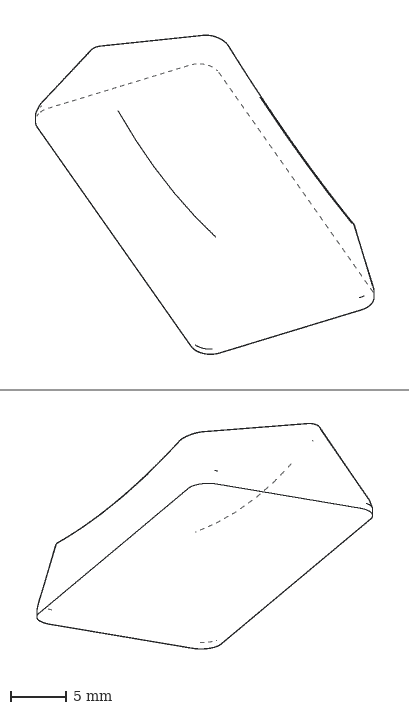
import cadquery as cq
import math

length = 37.2
width = 18.15
base_corner_radius = 1.97
skirt_height = 0.65

break_height = 1.38
break_inset = 0.2
break_inset_back = 0.1

top_tilt = 13.8
top_center_height = 8.22
top_length = 30.2
top_front = -5.17
top_back = 8.65
top_corner_radius = 1.85
top_edge_radius = 0.25

dish_half_reach = 9.3
dish_depth_front = 1.65
dish_depth_back = 0.95
dish_headroom = 1.85

recess_x = -11.15
recess_y = 4.45
recess_length = 4.28
recess_width = 3.4
recess_rim = 0.45
recess_depth = 0.1

tilt = math.radians(top_tilt)
top_plane = cq.Plane(
    origin=(0, 0, top_center_height),
    xDir=(1, 0, 0),
    normal=(0, math.sin(tilt), math.cos(tilt)),
)


def rounded_outline(plane, x_size, y_front, y_back, radius):
    """Closed rounded rectangle, centred in X, lying in the given plane."""
    middle = (y_front + y_back) / 2
    sharp = cq.Workplane(plane).center(0, middle).rect(x_size, y_back - y_front).val()
    return sharp.fillet2D(radius, sharp.Vertices())


def level_outline(height, inset=0, inset_back=0):
    """Base outline pulled inwards at the given height."""
    return rounded_outline(
        cq.Plane.XY(origin=(0, 0, height)),
        length - 2 * inset,
        -width / 2 + inset,
        width / 2 - inset_back,
        base_corner_radius,
    )


def make_body():
    """Skirt, break and sloping sides, up to the untrimmed tilted plane."""
    outlines = [
        level_outline(0),
        level_outline(skirt_height),
        level_outline(break_height, break_inset, break_inset_back),
        rounded_outline(
            top_plane,
            top_length,
            top_front / math.cos(tilt),
            top_back / math.cos(tilt),
            top_corner_radius,
        ),
    ]
    return cq.Workplane(cq.Solid.makeLoft(outlines, True))


def dish_depth(along_tilt):
    """Dish depth on the centre line, changing evenly from front to back."""
    share = (along_tilt + dish_half_reach) / (2 * dish_half_reach)
    return dish_depth_front + share * (dish_depth_back - dish_depth_front)


def dish_radius(depth):
    """Radius of the arc that spans the top length with the given depth."""
    half_chord = top_length / 2
    return (half_chord ** 2 + depth ** 2) / (2 * depth)


def dish_section(along_tilt):
    """Cross-section of the dish cutter: an arc below, straight sides above."""
    half_chord = top_length / 2
    plane = cq.Plane(
        origin=top_plane.toWorldCoords((0, along_tilt, 0)),
        xDir=top_plane.xDir,
        normal=-top_plane.yDir,
    )
    return (
        cq.Workplane(plane)
        .moveTo(-half_chord, 0)
        .threePointArc((0, -dish_depth(along_tilt)), (half_chord, 0))
        .lineTo(half_chord, dish_headroom)
        .lineTo(-half_chord, dish_headroom)
        .close()
        .val()
    )


def make_dish():
    """Cutter that hollows the tilted top."""
    sections = [dish_section(-dish_half_reach), dish_section(dish_half_reach)]
    return cq.Workplane(cq.Solid.makeLoft(sections, True))


def make_recess():
    """Oval cutter with a sloping rim, square to the dish arc."""
    along_tilt = recess_y / math.cos(tilt)
    depth = dish_depth(along_tilt)
    radius = dish_radius(depth)
    side_angle = math.asin(recess_x / radius)
    surface_height = radius * (1 - math.cos(side_angle)) - depth
    surface_normal = top_plane.zDir * math.cos(side_angle) - top_plane.xDir * math.sin(side_angle)
    plane = cq.Plane(
        origin=top_plane.toWorldCoords((recess_x, along_tilt, surface_height)),
        xDir=top_plane.yDir,
        normal=surface_normal,
    )
    return (
        cq.Workplane(plane)
        .workplane(offset=-recess_depth)
        .ellipse(recess_length / 2 - recess_rim, recess_width / 2 - recess_rim)
        .workplane(offset=2 * recess_depth)
        .ellipse(recess_length / 2 + recess_rim, recess_width / 2 + recess_rim)
        .loft(ruled=True)
    )


body = make_body().cut(make_dish())
dish_middle = top_plane.toWorldCoords((0, 0, -dish_depth(0)))
dish_face = body.faces(cq.selectors.NearestToPointSelector(dish_middle.toTuple()))
body = dish_face.edges().fillet(top_edge_radius)
result = body.cut(make_recess())